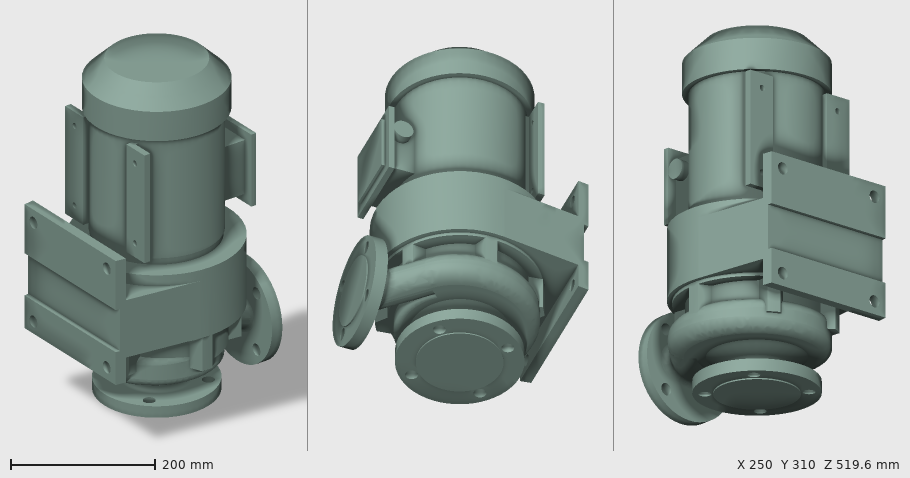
import cadquery as cq
import math


MOTOR_TOP = 439.6
CAP_TOP_RADIUS = 73
CAP_RADIUS = 104
CAP_CONE_HEIGHT = 30
CAP_SKIRT_HEIGHT = 46
MOTOR_RADIUS = 95
NECK_RADIUS = 93
NECK_HEIGHT = 11

RING_RADIUS = 125
RING_BOTTOM = 57
RING_TOP = 164
DISC_RADIUS = 118
DISC_THICKNESS = 5

FOOT_FACE_Y = -150
FOOT_PLATE_THICKNESS = 16
FOOT_RELIEF_DEPTH = 7
FOOT_TANGENT_ANGLE = 7.8
FOOT_TOP = 212.5
FOOT_BOTTOM = 18
FOOT_BODY_TOP = 147
FOOT_RELIEF_BOTTOM = 69.5
FOOT_RELIEF_TOP = 135.5
FOOT_HOLE_DIAMETER = 18
FOOT_HOLE_X = 85
FOOT_HOLE_LOW_Z = 37
FOOT_HOLE_HIGH_Z = 192

PAD_INNER_X = 50
PAD_OUTER_X = 92
PAD_FACE_Y = -90
PAD_THICKNESS = 10
PAD_WEB_THICKNESS = 8
PAD_BOTTOM = 184.5
PAD_HEIGHT = 169
PAD_HOLE_DIAMETER = 9
PAD_HOLE_X = 70
PAD_HOLE_SPACING = 125

BOX_WIDTH = 86
BOX_HEIGHT = 84.5
BOX_CENTER_Z = 248.5
BOX_FACE_Y = 134.5
BOX_EMBED_DEPTH = 1
COVER_SIZE_X = 115
COVER_SIZE_Z = 113
COVER_FRONT_Y = 121
COVER_BACK_Y = 129.5
GLAND_RADIUS = 14.5
GLAND_LENGTH = 14
GLAND_Y = 107
GLAND_Z = 270

CORE_RADIUS = 100
VOLUTE_HALF_HEIGHT = 25
VOLUTE_START_ANGLE = 135
VOLUTE_SHRINK_PER_TURN = 39
VOLUTE_START_ROUNDING = 22.5
PIPE_END_ROUNDING = 24.5
VOLUTE_ROUNDING_LOSS_PER_TURN = 17
VOLUTE_SECTION_STEP = 45
VOLUTE_INNER_RADIUS = 40
VOLUTE_HUB_RADIUS = 60
LEG_COUNT = 6
LEG_OUTER_WIDTH = 18
LEG_ROOT_WIDTH = 34

FLANGE_THICKNESS = 18
RAISED_FACE_HEIGHT = 2
BOLT_HOLE_DIAMETER = 18
BOLT_COUNT = 4
OUTLET_FACE_Y = 160
OUTLET_FLANGE_DIAMETER = 160
OUTLET_RAISED_DIAMETER = 102
OUTLET_BOLT_CIRCLE = 125
OUTLET_FILLET = 7.5
INLET_FACE_Z = -80
INLET_FLANGE_DIAMETER = 180
INLET_RAISED_DIAMETER = 122
INLET_BOLT_CIRCLE = 145
INLET_PIPE_RADIUS = 45
INLET_FILLET = 7
INLET_CONE_START_RADIUS = 48
INLET_CONE_START_Z = -39
INLET_CONE_END_RADIUS = 71
INLET_PIPE_TOP_Z = -45

OUTLET_BACK_Y = OUTLET_FACE_Y - RAISED_FACE_HEIGHT - FLANGE_THICKNESS

PIPE_SLANT = math.radians(VOLUTE_START_ANGLE - 90)
PIPE_AXIS_OFFSET = OUTLET_BACK_Y * math.cos(PIPE_SLANT)


def block(x_range, y_range, z_range):
    """Box between two limits along each axis."""
    size = [high - low for low, high in (x_range, y_range, z_range)]
    corner = (x_range[0], y_range[0], z_range[0])
    return cq.Workplane("XY").box(*size, centered=False).translate(corner)


def disc(radius, bottom, top):
    """Vertical cylinder on the motor axis."""
    return cq.Workplane("XY").workplane(offset=bottom).circle(radius).extrude(top - bottom)


def along_y(points, diameter, start_y, end_y):
    """Cylinders along Y at the given (x, z) points."""
    plane = cq.Plane(origin=(0, start_y, 0), xDir=(1, 0, 0), normal=(0, 1, 0))
    local = [(x, -z) for x, z in points]
    return cq.Workplane(plane).pushPoints(local).circle(diameter / 2).extrude(end_y - start_y)


def motor():
    skirt_top = MOTOR_TOP - CAP_CONE_HEIGHT
    skirt_bottom = skirt_top - CAP_SKIRT_HEIGHT
    neck_top = RING_TOP + NECK_HEIGHT
    profile = (
        cq.Workplane("YZ")
        .moveTo(0, RING_TOP)
        .lineTo(-NECK_RADIUS, RING_TOP)
        .lineTo(-NECK_RADIUS, neck_top)
        .lineTo(-MOTOR_RADIUS, neck_top)
        .lineTo(-MOTOR_RADIUS, skirt_bottom)
        .lineTo(-CAP_RADIUS, skirt_bottom)
        .lineTo(-CAP_RADIUS, skirt_top)
        .lineTo(-CAP_TOP_RADIUS, MOTOR_TOP)
        .lineTo(0, MOTOR_TOP)
        .close()
    )
    return profile.revolve(360, (0, 0, 0), (0, 1, 0))


def mounting_pad(side):
    """Pad beside the motor with a web reaching into the motor shell; side is -1 or +1."""
    z_range = (PAD_BOTTOM, PAD_BOTTOM + PAD_HEIGHT)
    back_y = PAD_FACE_Y + PAD_THICKNESS
    web_end_y = -MOTOR_RADIUS / 2
    plate = block((PAD_INNER_X, PAD_OUTER_X), (PAD_FACE_Y, back_y), z_range)
    web = block((PAD_INNER_X, PAD_INNER_X + PAD_WEB_THICKNESS), (PAD_FACE_Y, web_end_y), z_range)
    middle_z = PAD_BOTTOM + PAD_HEIGHT / 2
    hole_points = [(PAD_HOLE_X, middle_z + end * PAD_HOLE_SPACING / 2) for end in (-1, 1)]
    pad = plate.union(web).cut(along_y(hole_points, PAD_HOLE_DIAMETER, PAD_FACE_Y, back_y))
    return pad if side > 0 else pad.mirror("YZ")


def terminal_box():
    half_width = BOX_WIDTH / 2
    root_y = math.sqrt(MOTOR_RADIUS**2 - half_width**2) - BOX_EMBED_DEPTH
    box = block(
        (-half_width, half_width),
        (root_y, BOX_FACE_Y),
        (BOX_CENTER_Z - BOX_HEIGHT / 2, BOX_CENTER_Z + BOX_HEIGHT / 2),
    )
    cover = block(
        (-COVER_SIZE_X / 2, COVER_SIZE_X / 2),
        (COVER_FRONT_Y, COVER_BACK_Y),
        (BOX_CENTER_Z - COVER_SIZE_Z / 2, BOX_CENTER_Z + COVER_SIZE_Z / 2),
    )
    gland_plane = cq.Plane(origin=(-half_width, GLAND_Y, GLAND_Z), xDir=(0, 1, 0), normal=(-1, 0, 0))
    gland = cq.Workplane(gland_plane).circle(GLAND_RADIUS).extrude(GLAND_LENGTH)
    return box.union(cover).union(gland)


def foot_bracket():
    """Block whose tapering sides are tangent to the adapter ring, ending in the foot plate."""
    angle = math.radians(FOOT_TANGENT_ANGLE)
    tangent_x = RING_RADIUS * math.cos(angle)
    tangent_y = -RING_RADIUS * math.sin(angle)
    face_x = tangent_x - (tangent_y - FOOT_FACE_Y) * math.tan(angle)
    outline = (
        cq.Workplane("XY")
        .workplane(offset=FOOT_BOTTOM)
        .polyline(
            [(tangent_x, tangent_y), (face_x, FOOT_FACE_Y), (-face_x, FOOT_FACE_Y), (-tangent_x, tangent_y)]
        )
        .close()
        .extrude(FOOT_TOP - FOOT_BOTTOM)
    )
    full_x = (-RING_RADIUS, RING_RADIUS)
    plate_back_y = FOOT_FACE_Y + FOOT_PLATE_THICKNESS
    above = block(full_x, (plate_back_y, 0), (FOOT_BODY_TOP, FOOT_TOP))
    below = block(full_x, (plate_back_y, 0), (FOOT_BOTTOM, RING_BOTTOM))
    relief = block(
        full_x, (FOOT_FACE_Y, FOOT_FACE_Y + FOOT_RELIEF_DEPTH), (FOOT_RELIEF_BOTTOM, FOOT_RELIEF_TOP)
    )
    hole_points = [
        (side * FOOT_HOLE_X, z) for side in (-1, 1) for z in (FOOT_HOLE_LOW_Z, FOOT_HOLE_HIGH_Z)
    ]
    holes = along_y(hole_points, FOOT_HOLE_DIAMETER, FOOT_FACE_Y, plate_back_y)
    return outline.cut(above).cut(below).cut(relief).cut(holes)


def adapter():
    ring = disc(RING_RADIUS, RING_BOTTOM, RING_TOP)
    spigot = disc(DISC_RADIUS, RING_BOTTOM - DISC_THICKNESS, RING_BOTTOM)
    core = disc(CORE_RADIUS, 0, RING_BOTTOM)
    return ring.union(spigot).union(core)


def legs():
    """Tapered legs around the core, from the outlet axis height up to the adapter disc."""
    root_y = LEG_ROOT_WIDTH / 2
    root_x = math.sqrt(CORE_RADIUS**2 - root_y**2)
    outer_y = LEG_OUTER_WIDTH / 2
    outer_x = math.sqrt(DISC_RADIUS**2 - outer_y**2)
    leg = (
        cq.Workplane("XY")
        .moveTo(0, -root_y)
        .lineTo(root_x, -root_y)
        .lineTo(outer_x, -outer_y)
        .threePointArc((DISC_RADIUS, 0), (outer_x, outer_y))
        .lineTo(root_x, root_y)
        .lineTo(0, root_y)
        .close()
        .extrude(RING_BOTTOM)
    )
    group = cq.Workplane("XY")
    for index in range(LEG_COUNT):
        group = group.union(leg.rotate((0, 0, 0), (0, 0, 1), index * 360 / LEG_COUNT))
    return group


def volute_section(turn_angle):
    """Radial section wire of the spiral after turning turn_angle degrees from its outlet end."""
    turn = turn_angle / 360
    outer = PIPE_AXIS_OFFSET + VOLUTE_HALF_HEIGHT - VOLUTE_SHRINK_PER_TURN * turn
    rounding = VOLUTE_START_ROUNDING - VOLUTE_ROUNDING_LOSS_PER_TURN * turn
    angle = math.radians(VOLUTE_START_ANGLE + turn_angle)
    plane = cq.Plane(
        origin=(0, 0, 0),
        xDir=(math.cos(angle), math.sin(angle), 0),
        normal=(math.sin(angle), -math.cos(angle), 0),
    )
    half = VOLUTE_HALF_HEIGHT
    bulge = rounding * math.sqrt(0.5)
    arc_radius = outer - rounding
    arc_height = half - rounding
    return (
        cq.Workplane(plane)
        .moveTo(VOLUTE_INNER_RADIUS, -half)
        .lineTo(arc_radius, -half)
        .threePointArc((arc_radius + bulge, -arc_height - bulge), (outer, -arc_height))
        .lineTo(outer, arc_height)
        .threePointArc((arc_radius + bulge, arc_height + bulge), (arc_radius, half))
        .lineTo(VOLUTE_INNER_RADIUS, half)
        .close()
        .val()
    )


def volute():
    """Spiral casing, lofted as two half turns around a solid hub."""
    casing = disc(VOLUTE_HUB_RADIUS, -VOLUTE_HALF_HEIGHT, VOLUTE_HALF_HEIGHT)
    for start in (0, 180):
        angles = range(start, start + 180 + VOLUTE_SECTION_STEP, VOLUTE_SECTION_STEP)
        half_turn = cq.Solid.makeLoft([volute_section(angle) for angle in angles])
        casing = casing.union(cq.Workplane(half_turn))
    return casing


def bolt_points(bolt_circle):
    angles = [math.radians(360 / BOLT_COUNT * (index + 0.5)) for index in range(BOLT_COUNT)]
    return [(bolt_circle / 2 * math.cos(a), bolt_circle / 2 * math.sin(a)) for a in angles]


def outlet():
    """Slanted pipe from the spiral, nearly round at its end, with the outlet flange."""
    front_y = OUTLET_BACK_Y + FLANGE_THICKNESS
    direction = (math.cos(PIPE_SLANT), math.sin(PIPE_SLANT), 0)
    start = (-PIPE_AXIS_OFFSET * math.sin(PIPE_SLANT), PIPE_AXIS_OFFSET * math.cos(PIPE_SLANT), 0)
    length = 2 * OUTLET_BACK_Y * math.sin(PIPE_SLANT)
    plane = cq.Plane(origin=start, xDir=(0, 0, 1), normal=direction)
    size = 2 * VOLUTE_HALF_HEIGHT
    start_sketch = cq.Sketch().rect(size, size).vertices().fillet(VOLUTE_START_ROUNDING)
    end_sketch = cq.Sketch().rect(size, size).vertices().fillet(PIPE_END_ROUNDING)
    pipe = (
        cq.Workplane(plane)
        .placeSketch(start_sketch, end_sketch.moved(cq.Location((0, 0, length))))
        .loft()
    )
    beyond = block(
        (-OUTLET_FACE_Y, 2 * OUTLET_FACE_Y), (front_y, 2 * OUTLET_FACE_Y), (-OUTLET_FACE_Y, OUTLET_FACE_Y)
    )
    flange = along_y([(0, 0)], OUTLET_FLANGE_DIAMETER, OUTLET_BACK_Y, front_y)
    joint_reach = OUTLET_RAISED_DIAMETER / 2
    joint = cq.selectors.BoxSelector(
        (-joint_reach, OUTLET_BACK_Y - 1, -joint_reach),
        (joint_reach, OUTLET_BACK_Y + 1, joint_reach),
        boundingbox=True,
    )
    body = pipe.cut(beyond).union(flange).edges(joint).fillet(OUTLET_FILLET)
    raised = along_y([(0, 0)], OUTLET_RAISED_DIAMETER, front_y, OUTLET_FACE_Y)
    holes = along_y(bolt_points(OUTLET_BOLT_CIRCLE), BOLT_HOLE_DIAMETER, OUTLET_BACK_Y, front_y)
    return body.union(raised).cut(holes)


def inlet():
    """Revolved inlet flange, pipe and cone below the casing."""
    front_z = INLET_FACE_Z + RAISED_FACE_HEIGHT
    back_z = front_z + FLANGE_THICKNESS
    raised = INLET_RAISED_DIAMETER / 2
    rim = INLET_FLANGE_DIAMETER / 2
    fillet_middle = INLET_FILLET * (1 - math.sqrt(0.5))
    profile = (
        cq.Workplane("YZ")
        .moveTo(0, INLET_FACE_Z)
        .lineTo(-raised, INLET_FACE_Z)
        .lineTo(-raised, front_z)
        .lineTo(-rim, front_z)
        .lineTo(-rim, back_z)
        .lineTo(-INLET_PIPE_RADIUS - INLET_FILLET, back_z)
        .threePointArc(
            (-INLET_PIPE_RADIUS - fillet_middle, back_z + fillet_middle),
            (-INLET_PIPE_RADIUS, back_z + INLET_FILLET),
        )
        .lineTo(-INLET_PIPE_RADIUS, INLET_PIPE_TOP_Z)
        .tangentArcPoint((-INLET_CONE_START_RADIUS, INLET_CONE_START_Z), relative=False)
        .lineTo(-INLET_CONE_END_RADIUS, -VOLUTE_HALF_HEIGHT)
        .lineTo(0, -VOLUTE_HALF_HEIGHT)
        .close()
    )
    holes = (
        cq.Workplane("XY")
        .workplane(offset=front_z)
        .pushPoints(bolt_points(INLET_BOLT_CIRCLE))
        .circle(BOLT_HOLE_DIAMETER / 2)
        .extrude(FLANGE_THICKNESS)
    )
    return profile.revolve(360, (0, 0, 0), (0, 1, 0)).cut(holes)


result = adapter()
for feature in (
    motor(),
    mounting_pad(-1),
    mounting_pad(1),
    terminal_box(),
    foot_bracket(),
    legs(),
    volute(),
    outlet(),
    inlet(),
):
    result = result.union(feature)